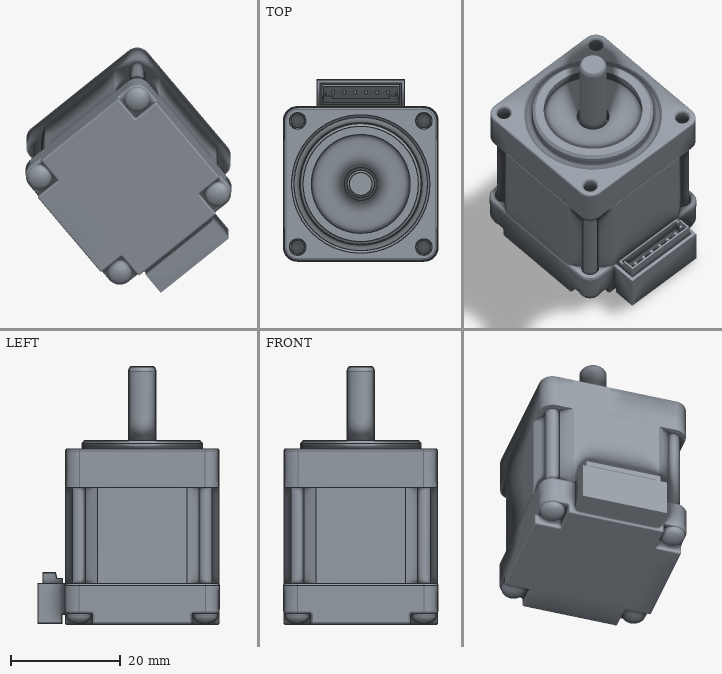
import cadquery as cq
import math

CAP_TOP = 7.45
STACK_TOP = CAP_TOP + 17.5
FLANGE_TOP = STACK_TOP + 7.0
BOSS_TOP = FLANGE_TOP + 1.5
SHAFT_TOP = FLANGE_TOP + 15.0

BODY_SIDE = 28.0
CORNER_RADIUS = 2.5
SCREW_OFFSET = BODY_SIDE / 2 - CORNER_RADIUS
SCREW_POSITIONS = [(sx * SCREW_OFFSET, sy * SCREW_OFFSET) for sx in (-1, 1) for sy in (-1, 1)]

FLANGE_SIDE = 27.9
FLANGE_EDGE = 0.35
FLANGE_HOLE_DIAMETER = 2.5
FLANGE_HOLE_DEPTH = 4.0
FLANGE_HOLE_MOUTH = 3.0

BOSS_RADIUS = 11.0
BOSS_CHAMFER = 0.5
BOSS_FOOT_FLARE = 0.15
BOSS_FOOT_HEIGHT = 0.35
BOSS_POCKET_RADIUS = 9.0
BOSS_POCKET_DEPTH = 2.0
GROOVE_TOP_RADIUS = 12.6
GROOVE_FLOOR_RADIUS = 12.15
GROOVE_DEPTH = 0.55
SHAFT_RADIUS = 2.5
SHAFT_TIP_HEIGHT = 0.9
SHAFT_TIP_INSET = 0.42
SHAFT_CLEARANCE_RADIUS = 3.0
SHAFT_CLEARANCE_DEPTH = 3.0

STACK_CORNER_RADIUS = 16.2
BOLT_RADIUS = 1.25
STACK_BOLT_GROOVE_RADIUS = 1.5
CAP_BOLT_HOLE_RADIUS = 1.65

SELECTION_MARGIN = 0.05

CAP_RIM_SIDE = 28.18
CAP_RIM_HEIGHT = 0.4
CAP_RIM_INSET = 0.2
POCKET_INNER = 9.1
POCKET_HEIGHT = 1.95
POCKET_FILLET = 0.3
HEAD_RADIUS = 2.25
HEAD_RIM_HEIGHT = 0.3
HEAD_DOME_HEIGHT = 1.5

HOUSING_WIDTH = 16.0
HOUSING_BACK_Y = 19.0
HOUSING_STEP_Y = 14.65
HOUSING_BOTTOM = 0.15
HOUSING_STEP_Z = 1.8
HOUSING_WALL = 0.6
HOUSING_RECESS_DEPTH = 1.0
HOUSING_ROOT_DEPTH = 1.0
HOUSING_ROOT_MARGIN = 1.0

HEADER_WIDTH = 14.2
HEADER_BACK_Y = 18.1
HEADER_FRONT_Y = 14.5
HEADER_TOP = 9.4
HEADER_LOW_TOP = 8.35
HEADER_STEP_TOP_Y = 15.8
HEADER_STEP_BOTTOM_Y = 15.55
HEADER_WALL = 0.3
HEADER_CAVITY_FLOOR = 5.0
LEDGE_TOP = 6.0
LEDGE_BACK_Y = 16.0
LEDGE_NOTCH_WIDTH = 10.3
NUB_LENGTH = 0.6
NUB_Y = 16.4
PIN_COUNT = 6
PIN_PITCH = 2.0
PIN_SIDE = 0.5
PIN_Y = 16.65
PIN_TOP = 8.0


def box(x_range, y_range, z_range):
    """Axis-aligned box from its limits along X, Y and Z."""
    size = [high - low for low, high in (x_range, y_range, z_range)]
    return cq.Workplane("XY").box(*size, centered=False).translate((x_range[0], y_range[0], z_range[0]))


def centred_box(width, y_range, z_range):
    """Box of the given X width, centred on X = 0."""
    return box((-width / 2, width / 2), y_range, z_range)


def rounded_square(side, radius, z):
    """Workplane at height z holding a square outline with rounded corners."""
    return cq.Workplane("XY", origin=(0, 0, z)).sketch().rect(side, side).vertices().fillet(radius).finalize()


def at_screws(z, radius, height):
    """Four equal cylinders rising from z on the screw axes."""
    return cq.Workplane("XY", origin=(0, 0, z)).pushPoints(SCREW_POSITIONS).circle(radius).extrude(height)


def disc(z, radius, height, taper=0):
    """Cylinder on the motor axis rising from z, or a cone narrowing by the taper angle in degrees."""
    return cq.Workplane("XY", origin=(0, 0, z)).circle(radius).extrude(height, taper=taper)


def make_flange():
    plate = rounded_square(FLANGE_SIDE, CORNER_RADIUS, STACK_TOP).extrude(FLANGE_TOP - STACK_TOP)
    plate = plate.faces(">Z").edges().fillet(FLANGE_EDGE)
    groove_floor = FLANGE_TOP - GROOVE_DEPTH
    groove_taper = math.degrees(math.atan((GROOVE_TOP_RADIUS - GROOVE_FLOOR_RADIUS) / GROOVE_DEPTH))
    groove = disc(groove_floor, GROOVE_FLOOR_RADIUS, GROOVE_DEPTH, -groove_taper)
    foot_top = groove_floor + BOSS_FOOT_HEIGHT
    boss = disc(foot_top, BOSS_RADIUS, BOSS_TOP - foot_top).faces(">Z").chamfer(BOSS_CHAMFER)
    foot_taper = math.degrees(math.atan(BOSS_FOOT_FLARE / BOSS_FOOT_HEIGHT))
    foot = disc(groove_floor, BOSS_RADIUS + BOSS_FOOT_FLARE, BOSS_FOOT_HEIGHT, foot_taper)
    pocket_floor = BOSS_TOP - BOSS_POCKET_DEPTH
    flange = plate.cut(groove).union(foot).union(boss)
    flange = flange.cut(disc(pocket_floor, BOSS_POCKET_RADIUS, BOSS_POCKET_DEPTH))
    clearance_floor = pocket_floor - SHAFT_CLEARANCE_DEPTH
    return flange.cut(disc(clearance_floor, SHAFT_CLEARANCE_RADIUS, SHAFT_CLEARANCE_DEPTH))


def cut_flange_holes(body):
    mouth_chamfer = (FLANGE_HOLE_MOUTH - FLANGE_HOLE_DIAMETER) / 2
    holes = at_screws(FLANGE_TOP - FLANGE_HOLE_DEPTH, FLANGE_HOLE_DIAMETER / 2, FLANGE_HOLE_DEPTH)
    countersinks = (
        cq.Workplane("XY", origin=(0, 0, FLANGE_TOP))
        .pushPoints(SCREW_POSITIONS)
        .circle(FLANGE_HOLE_MOUTH / 2)
        .extrude(-mouth_chamfer, taper=45)
    )
    return body.cut(holes).cut(countersinks)


def make_shaft():
    return (
        cq.Workplane("XZ")
        .moveTo(0, STACK_TOP)
        .lineTo(SHAFT_RADIUS, STACK_TOP)
        .lineTo(SHAFT_RADIUS, SHAFT_TOP - SHAFT_TIP_HEIGHT)
        .tangentArcPoint((SHAFT_RADIUS - SHAFT_TIP_INSET, SHAFT_TOP), relative=False)
        .lineTo(0, SHAFT_TOP)
        .close()
        .revolve(360, (0, 0, 0), (0, 1, 0))
    )


def make_stack():
    height = STACK_TOP - CAP_TOP
    square = cq.Workplane("XY", origin=(0, 0, CAP_TOP)).rect(BODY_SIDE, BODY_SIDE).extrude(height)
    stack = square.intersect(disc(CAP_TOP, STACK_CORNER_RADIUS, height))
    return stack.cut(at_screws(CAP_TOP, STACK_BOLT_GROOVE_RADIUS, height))


def make_cap():
    rim_z = CAP_TOP - CAP_RIM_HEIGHT
    draft = math.degrees(math.atan((CAP_RIM_SIDE - BODY_SIDE) / 2 / rim_z))
    cap = rounded_square(BODY_SIDE, CORNER_RADIUS, 0).extrude(rim_z, taper=-draft)
    rim_radius = CORNER_RADIUS + (CAP_RIM_SIDE - BODY_SIDE) / 2
    rim_taper = math.degrees(math.atan(CAP_RIM_INSET / CAP_RIM_HEIGHT))
    cap = cap.union(rounded_square(CAP_RIM_SIDE, rim_radius, rim_z).extrude(CAP_RIM_HEIGHT, taper=rim_taper))
    pocket_size = CAP_RIM_SIDE / 2 - POCKET_INNER
    pocket_centre = POCKET_INNER + pocket_size / 2
    pockets = (
        cq.Workplane("XY")
        .pushPoints([(sx * pocket_centre, sy * pocket_centre) for sx in (-1, 1) for sy in (-1, 1)])
        .rect(pocket_size, pocket_size)
        .extrude(POCKET_HEIGHT)
    )
    cap = cap.cut(pockets)
    side = CAP_RIM_SIDE / 2
    inside = BODY_SIDE / 2 - POCKET_FILLET
    top = POCKET_HEIGHT + SELECTION_MARGIN
    low_edges = cq.selectors.BoxSelector(
        (-side, -side, -SELECTION_MARGIN), (side, side, top), boundingbox=True
    )
    inside_edges = cq.selectors.BoxSelector(
        (-inside, -inside, SELECTION_MARGIN), (inside, inside, top), boundingbox=True
    )
    cap = cap.edges(low_edges - inside_edges).fillet(POCKET_FILLET)
    return cap.cut(at_screws(POCKET_HEIGHT, CAP_BOLT_HOLE_RADIUS, CAP_TOP - POCKET_HEIGHT))


def make_screws():
    rim_z = POCKET_HEIGHT - HEAD_RIM_HEIGHT
    screw = (
        cq.Workplane("XZ")
        .moveTo(0, rim_z - HEAD_DOME_HEIGHT)
        .ellipseArc(HEAD_RADIUS, HEAD_DOME_HEIGHT, -90, 0, startAtCurrent=True)
        .lineTo(HEAD_RADIUS, POCKET_HEIGHT)
        .lineTo(BOLT_RADIUS, POCKET_HEIGHT)
        .lineTo(BOLT_RADIUS, STACK_TOP)
        .lineTo(0, STACK_TOP)
        .close()
        .revolve(360, (0, 0, 0), (0, 1, 0))
    )
    screws = cq.Workplane("XY")
    for x, y in SCREW_POSITIONS:
        screws = screws.add(screw.translate((x, y, 0)))
    return screws.combine()


def make_housing():
    cap_face_y = BODY_SIDE / 2
    root_y = cap_face_y - HOUSING_ROOT_DEPTH
    root_bottom = HOUSING_STEP_Z + HOUSING_ROOT_MARGIN
    root_top = CAP_TOP - HOUSING_ROOT_MARGIN
    housing = centred_box(HOUSING_WIDTH, (cap_face_y, HOUSING_BACK_Y), (HOUSING_BOTTOM, CAP_TOP))
    step = centred_box(HOUSING_WIDTH, (cap_face_y, HOUSING_STEP_Y), (HOUSING_BOTTOM, HOUSING_STEP_Z))
    root = centred_box(HOUSING_WIDTH, (root_y, cap_face_y), (root_bottom, root_top))
    recess = centred_box(
        HOUSING_WIDTH - 2 * HOUSING_WALL,
        (cap_face_y, HOUSING_BACK_Y - HOUSING_WALL),
        (CAP_TOP - HOUSING_RECESS_DEPTH, CAP_TOP),
    )
    return housing.cut(step).union(root).cut(recess)


def make_header():
    base_z = CAP_TOP - HOUSING_RECESS_DEPTH
    return (
        cq.Workplane("YZ", origin=(-HEADER_WIDTH / 2, 0, 0))
        .moveTo(HEADER_FRONT_Y, base_z)
        .lineTo(HEADER_BACK_Y, base_z)
        .lineTo(HEADER_BACK_Y, HEADER_TOP)
        .lineTo(HEADER_STEP_TOP_Y, HEADER_TOP)
        .lineTo(HEADER_STEP_BOTTOM_Y, HEADER_LOW_TOP)
        .lineTo(HEADER_FRONT_Y, HEADER_LOW_TOP)
        .close()
        .extrude(HEADER_WIDTH)
    )


def cut_header_cavity(connector):
    """Hollow the header and leave its ledge, side nubs and pins standing in the cavity."""
    width = HEADER_WIDTH - 2 * HEADER_WALL
    front_y = HEADER_FRONT_Y + HEADER_WALL
    cavity = centred_box(width, (front_y, HEADER_BACK_Y - HEADER_WALL), (HEADER_CAVITY_FLOOR, HEADER_TOP))
    ledge = centred_box(width, (front_y, LEDGE_BACK_Y), (HEADER_CAVITY_FLOOR, LEDGE_TOP))
    notch = centred_box(
        LEDGE_NOTCH_WIDTH, (HEADER_STEP_BOTTOM_Y, LEDGE_BACK_Y), (HEADER_CAVITY_FLOOR, LEDGE_TOP)
    )
    connector = connector.cut(cavity).union(ledge.cut(notch))
    for side in (-1, 1):
        wall_x = side * width / 2
        nub = (
            cq.Workplane("XY", origin=(0, 0, HEADER_CAVITY_FLOOR))
            .moveTo(wall_x, NUB_Y - NUB_LENGTH / 2)
            .lineTo(wall_x - side * NUB_LENGTH, NUB_Y)
            .lineTo(wall_x, NUB_Y + NUB_LENGTH / 2)
            .close()
            .extrude(HEADER_LOW_TOP - HEADER_CAVITY_FLOOR)
        )
        connector = connector.union(nub)
    pins = (
        cq.Workplane("XY", origin=(0, PIN_Y, HEADER_CAVITY_FLOOR))
        .rarray(PIN_PITCH, 1, PIN_COUNT, 1)
        .rect(PIN_SIDE, PIN_SIDE)
        .extrude(PIN_TOP - HEADER_CAVITY_FLOOR)
    )
    return connector.union(pins)


connector = cut_header_cavity(make_housing().union(make_header()))
motor = make_cap().union(make_stack()).union(make_flange()).union(make_shaft())
motor = cut_flange_holes(motor.union(make_screws()))
result = motor.union(connector)